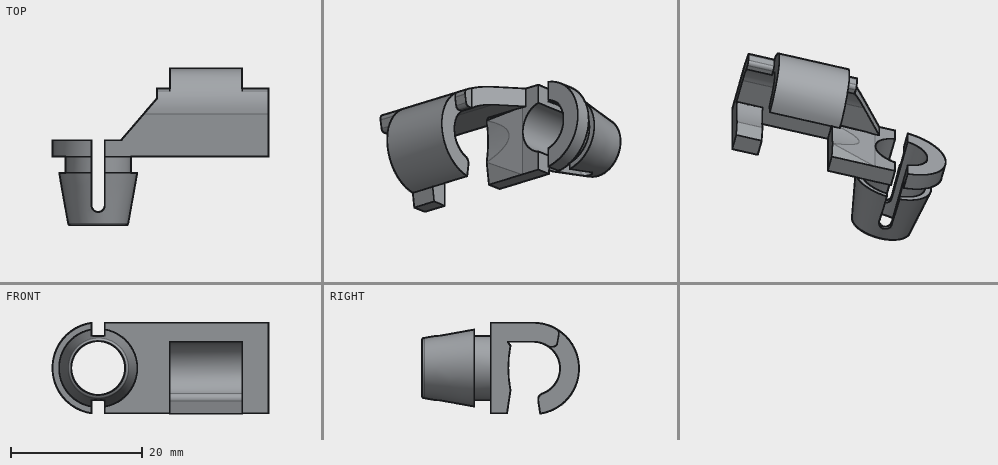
import cadquery as cq
import math

length = 32.98
depth = 23.98
half_height = 6.93

plug_x = 7.0
plate_front = 10.5
plate_back = 13.0

bore_radius = 4.1
neck_radius = 5.0
barb_radius = 5.97
nose_radius = 4.55
nose_round = 0.4
barb_y = 7.98
slot_width = 1.98
slot_end_y = 2.05

arm_thickness = 2.95
hook_outer = 7.0
hook_inner = hook_outer - arm_thickness
hook_y = depth - hook_outer
hook_z = half_height - hook_outer
arm_bottom = half_height - arm_thickness
hook_left = 17.95
hook_right = 28.95
hook_tip_angle = 8.5
hook_tip_round = 1.0

lip_left = 15.93
lip_end_y = 20.98
lip_lower_y = 20.55
lip_bottom = 3.25
lip_round = 0.65
lip_outer_round = 0.82

slant_start_x = 10.5
slant_end_y = 19.33

pad_ramp_start = 11.2
pad_back = 13.52
pad_hollow_back = 13.2
pad_half_height = 3.4
pad_chamfer_back = 13.1


def hook_point(radius, angle):
    """Point (y, z) around the hook centre, with the angle measured from +Y."""
    turn = math.radians(angle)
    return (hook_y + radius * math.cos(turn), hook_z + radius * math.sin(turn))


def circle_z(radius, y):
    """Height of the upper half of a hook circle at the given y."""
    return hook_z + math.sqrt(radius**2 - (y - hook_y) ** 2)


def section(x):
    """Sketch plane across the part, with local axes Y and Z."""
    return cq.Workplane("YZ", origin=(x, 0, 0))


def cylinder_y(radius, y_start, y_end):
    """Cylinder along Y on the plug axis."""
    plane = cq.Plane(origin=(plug_x, y_start, 0), xDir=(1, 0, 0), normal=(0, 1, 0))
    return cq.Workplane(plane).circle(radius).extrude(y_end - y_start)


def make_plate():
    size = (length - plug_x, plate_back - plate_front, 2 * half_height)
    straight = cq.Workplane("XY").box(*size, centered=(False, False, True))
    straight = straight.translate((plug_x, plate_front, 0))
    trim = cq.Workplane("XY").box(2 * length, 2 * depth, 2 * half_height)
    return straight.union(cylinder_y(plug_x, plate_front, plate_back).intersect(trim))


def make_pad():
    ramp = (
        cq.Workplane("XY")
        .polyline([
            (pad_ramp_start, plate_front),
            (pad_ramp_start, plate_back),
            (hook_left, pad_back),
            (length, pad_back),
            (length, plate_front),
        ])
        .close()
        .extrude(half_height, both=True)
    )
    pad = (
        section(slant_start_x)
        .moveTo(plate_front, -half_height)
        .lineTo(plate_back, -half_height)
        .lineTo(pad_back, -pad_half_height)
        .threePointArc((pad_hollow_back, 0), (pad_back, pad_half_height))
        .lineTo(pad_chamfer_back, arm_bottom)
        .lineTo(plate_front, arm_bottom)
        .close()
        .extrude(length - slant_start_x)
    )
    return pad.intersect(ramp)


def make_hook():
    tip_angle = hook_tip_angle - 90
    hook = (
        section(hook_left)
        .moveTo(plate_front, half_height)
        .lineTo(hook_y, half_height)
        .threePointArc(hook_point(hook_outer, 0), hook_point(hook_outer, tip_angle))
        .lineTo(*hook_point(hook_inner, tip_angle))
        .threePointArc(hook_point(hook_inner, 0), (hook_y, arm_bottom))
        .lineTo(plate_front, arm_bottom)
        .close()
        .extrude(hook_right - hook_left)
    )
    corner = ((hook_left + hook_right) / 2, *hook_point(hook_inner, tip_angle))
    return hook.edges(cq.selectors.NearestToPointSelector(corner)).fillet(hook_tip_round)


def make_arm_with_lips():
    inner_end_y = hook_y + math.sqrt(hook_inner**2 - (lip_bottom - hook_z) ** 2)
    arm = (
        section(slant_start_x)
        .moveTo(plate_front, half_height)
        .lineTo(hook_y, half_height)
        .threePointArc(hook_point(hook_outer, 75), (lip_end_y, circle_z(hook_outer, lip_end_y)))
        .lineTo(lip_lower_y, lip_bottom)
        .lineTo(inner_end_y, lip_bottom)
        .threePointArc(hook_point(hook_inner, 75), (hook_y, arm_bottom))
        .lineTo(plate_front, arm_bottom)
        .close()
        .extrude(length - slant_start_x)
    )
    lower_edge = ((length + slant_start_x) / 2, lip_lower_y, lip_bottom)
    upper_edge = (lower_edge[0], lip_end_y, circle_z(hook_outer, lip_end_y))
    arm = arm.edges(cq.selectors.NearestToPointSelector(lower_edge)).fillet(lip_round)
    return arm.edges(cq.selectors.NearestToPointSelector(upper_edge)).fillet(lip_outer_round)


def make_slant_cut():
    return (
        cq.Workplane("XY", origin=(0, 0, -half_height))
        .polyline([
            (slant_start_x, plate_back),
            (lip_left, slant_end_y),
            (lip_left, depth),
            (0, depth),
            (0, plate_back),
        ])
        .close()
        .extrude(2 * half_height)
    )


def make_plug():
    neck = cylinder_y(neck_radius, barb_y, plate_front)
    barb = (
        cq.Workplane("XY")
        .polyline([(0, 0), (nose_radius, 0), (barb_radius, barb_y), (0, barb_y)])
        .close()
        .revolve(360, (0, 0), (0, 1))
        .faces("<Y")
        .edges()
        .fillet(nose_round)
        .translate((plug_x, 0, 0))
    )
    return neck.union(barb)


def make_slot():
    """Round-ended slot splitting the plug and plate from top to bottom."""
    round_y = slot_end_y + slot_width / 2
    straight_length = plate_back - round_y
    straight = cq.Workplane("XY").box(
        slot_width, straight_length, 2 * half_height, centered=(True, False, True)
    )
    rounded = cq.Workplane("XY").circle(slot_width / 2).extrude(half_height, both=True)
    return straight.union(rounded).translate((plug_x, round_y, 0))


def make_window():
    """Opening through the plate and pad in front of the hook."""
    size = (hook_right - hook_left, pad_back - plate_front, arm_bottom + half_height)
    window = cq.Workplane("XY").box(*size, centered=False)
    return window.translate((hook_left, plate_front, -half_height))


body = make_plate().union(make_pad()).union(make_arm_with_lips())
body = body.cut(make_slant_cut()).cut(make_window())
body = body.union(make_hook()).union(make_plug())
body = body.cut(cylinder_y(bore_radius, 0, plate_back))
result = body.cut(make_slot())